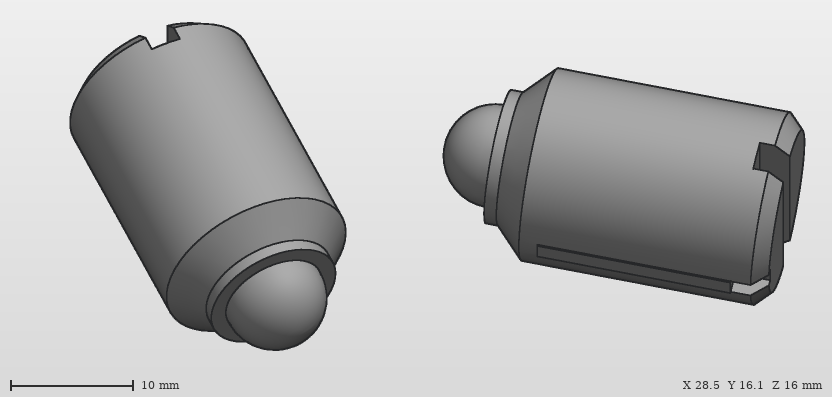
import cadquery as cq
import math

total_length = 28.5
body_end = 22.97
collar_end = 24.0
nose_cone_start = 20.55

body_diameter = 16.0
collar_diameter = 11.1
pin_diameter = 8.5

rear_chamfer = 1.25

slot_width = 2.5
slot_depth = 2.5

strip_width = 1.65
strip_start = 2.9
strip_end = 19.0
strip_inner_y = 6.18
strip_projection = 0.09

body_radius = body_diameter / 2
collar_radius = collar_diameter / 2
pin_radius = pin_diameter / 2
dome_centre = total_length - pin_radius
strip_outer_y = body_radius + strip_projection
diagonal = math.sqrt(0.5)


def turned_body():
    """Chamfered cylinder, conical shoulder, collar and domed pin, turned about X."""
    return (
        cq.Workplane("XY")
        .lineTo(0, body_radius - rear_chamfer)
        .lineTo(rear_chamfer, body_radius)
        .lineTo(nose_cone_start, body_radius)
        .lineTo(body_end, collar_radius)
        .lineTo(collar_end, collar_radius)
        .lineTo(collar_end, pin_radius)
        .lineTo(dome_centre, pin_radius)
        .threePointArc(
            (dome_centre + pin_radius * diagonal, pin_radius * diagonal),
            (total_length, 0),
        )
        .close()
        .revolve(360, (0, 0, 0), (1, 0, 0))
    )


def screwdriver_slot():
    return cq.Workplane("XY").box(
        slot_depth, slot_width, body_diameter, centered=(False, True, True)
    )


def side_box(start, end):
    """Block with the strip's section, between two positions along X."""
    return (
        cq.Workplane("XY")
        .box(end - start, strip_outer_y - strip_inner_y, strip_width, centered=(False, False, True))
        .translate((start, strip_inner_y, 0))
    )


groove = side_box(0, strip_start)
strip = side_box(strip_start, strip_end)

result = turned_body().cut(screwdriver_slot()).cut(groove).union(strip)